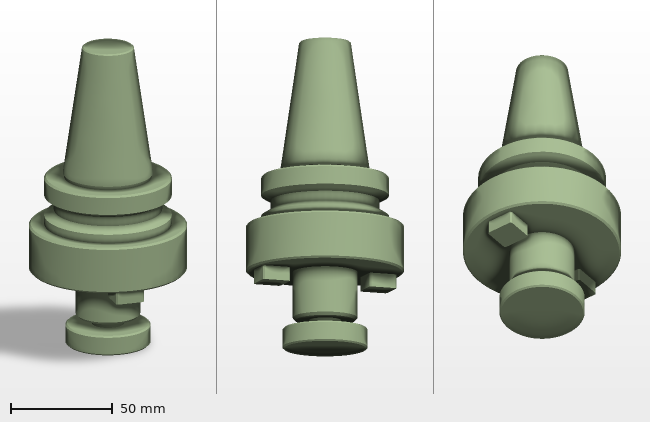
import cadquery as cq

head_top = 10.1
pilot_bottom = 14.1
body_bottom = 38.2
body_top = 61.8
groove_lower_edge = 66.3
groove_floor_bottom = 69.2
groove_floor_top = 74.0
groove_upper_edge = 76.5
flange_top = 86.2
gauge_line = 88.0
overall_height = 153.4

head_radius = 21.0
screw_radius = 8.0
pilot_radius = 16.0
body_radius = 39.0
flange_radius = 31.5
groove_radius = 26.7
relief_radius = 21.6
taper_large_radius = 22.2
TAPER_RATIO = 7 / 24
taper_length = overall_height - gauge_line
taper_small_radius = taper_large_radius - taper_length * TAPER_RATIO / 2

head_chamfer = 0.8
pilot_chamfer = 1.4
body_chamfer = 0.9
flange_chamfer = 0.9
taper_chamfer = 0.6

key_inner = 20.9
key_outer = 35.0
key_width = 14.4
key_height = 6.9
key_chamfer = 0.8


def disc(radius, bottom, top):
    return cq.Workplane("XY").workplane(offset=bottom).circle(radius).extrude(top - bottom)


def clamping_screw():
    head = disc(head_radius, 0, head_top).edges().chamfer(head_chamfer)
    return head.union(disc(screw_radius, head_top, pilot_bottom))


def pilot_and_body():
    pilot = disc(pilot_radius, pilot_bottom, body_bottom).faces("<Z").edges().chamfer(pilot_chamfer)
    body = disc(body_radius, body_bottom, body_top).edges().chamfer(body_chamfer)
    return pilot.union(body)


def grooved_flange():
    profile = [
        (0, body_top),
        (flange_radius, body_top),
        (flange_radius, groove_lower_edge),
        (groove_radius, groove_floor_bottom),
        (groove_radius, groove_floor_top),
        (flange_radius, groove_upper_edge),
        (flange_radius, flange_top),
        (0, flange_top),
    ]
    flange = cq.Workplane("XZ").polyline(profile).close().revolve(360, (0, 0), (0, 1))
    return flange.faces(">Z").edges().chamfer(flange_chamfer)


def taper_shank():
    profile = [
        (0, flange_top),
        (relief_radius, flange_top),
        (relief_radius, gauge_line),
        (taper_large_radius, gauge_line),
        (taper_small_radius, overall_height),
        (0, overall_height),
    ]
    shank = cq.Workplane("XZ").polyline(profile).close().revolve(360, (0, 0), (0, 1))
    return shank.faces(">Z").edges().chamfer(taper_chamfer)


def driving_key(side):
    length = key_outer - key_inner
    middle = side * (key_inner + key_outer) / 2
    key = cq.Workplane("XY").box(length, key_width, key_height).edges("|Z").chamfer(key_chamfer)
    return key.translate((middle, 0, body_bottom - key_height / 2))


result = clamping_screw().union(pilot_and_body()).union(grooved_flange()).union(taper_shank())
for side in (-1, 1):
    result = result.union(driving_key(side))